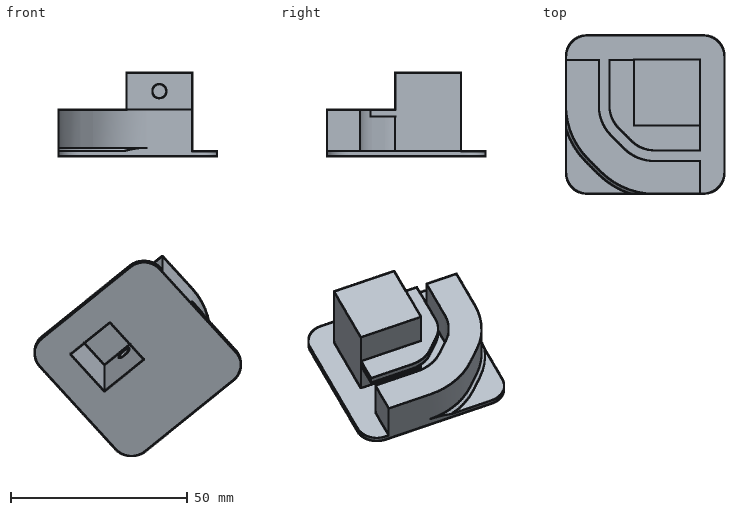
import cadquery as cq
import math

plate_side = 45.0
plate_thickness = 1.45
plate_corner_radius = 6.0

wall_top = 13.25
wall_width = 9.3
slot_width = 3.0
body_end = 38.0
bend_radius = 21.38
bend_center = 25.0
foot_top = 2.45
foot_flare = 1.0

lip_thickness = 2.0
lip_inset = wall_width + slot_width

block_side = 18.7
block_back_overhang = 0.1
block_top = 23.7
hole_diameter = 4.0
shell_thickness = 2.0
block_x = body_end - block_side
block_y = block_x + block_back_overhang


def trace_bend(sketch, inset):
    """Two straight legs joined by a 45 degree flat with a tangent arc at each end."""
    radius = bend_radius - inset
    diagonal = radius * math.sqrt(0.5)
    mid_long = radius * math.cos(math.pi / 8)
    mid_short = radius * math.sin(math.pi / 8)
    flat_near = bend_radius - diagonal
    flat_far = bend_center - diagonal
    arc_near = bend_radius - mid_long
    arc_far = bend_center - mid_short
    return (
        sketch.lineTo(inset, bend_center)
        .threePointArc((arc_near, arc_far), (flat_near, flat_far))
        .lineTo(flat_far, flat_near)
        .threePointArc((arc_far, arc_near), (bend_center, inset))
        .lineTo(body_end, inset)
    )


def bend_area(z, inset):
    """Closed area between the bend and the far corner of the body."""
    start = cq.Workplane("XY", origin=(0, 0, z)).moveTo(inset, body_end)
    return trace_bend(start, inset).lineTo(body_end, body_end).close()


def make_plate():
    plate = cq.Workplane("XY").box(plate_side, plate_side, plate_thickness, centered=False)
    return plate.edges("|Z").fillet(plate_corner_radius)


def make_wall():
    height = wall_top - plate_thickness
    outer = bend_area(plate_thickness, 0).extrude(height)
    slope = math.degrees(math.atan2(foot_flare, foot_top - plate_thickness))
    foot = bend_area(plate_thickness, -foot_flare).extrude(foot_top - plate_thickness, taper=slope)
    limit = cq.Workplane("XY").box(body_end, body_end, wall_top, centered=False)
    inner = bend_area(plate_thickness, wall_width).extrude(height)
    return outer.union(foot.intersect(limit)).cut(inner)


def make_lip():
    return bend_area(wall_top - lip_thickness, lip_inset).extrude(lip_thickness)


def make_block():
    return cq.Workplane("XY", origin=(block_x, block_y, 0)).box(
        block_side, block_side, block_top, centered=False
    )


def make_cavity():
    """Hollow of the block, open through the underside of the plate."""
    side = block_side - 2 * shell_thickness
    corner = (block_x + shell_thickness, block_y + shell_thickness, 0)
    return cq.Workplane("XY", origin=corner).box(side, side, block_top - shell_thickness, centered=False)


def make_hole():
    """Round hole through the front wall, centred on its height above the lip."""
    center = (block_x + block_side / 2, block_y, (wall_top + block_top) / 2)
    return cq.Workplane("XZ", origin=center).circle(hole_diameter / 2).extrude(-shell_thickness)


body = make_plate().union(make_wall()).union(make_lip()).union(make_block())
result = body.cut(make_cavity()).cut(make_hole())